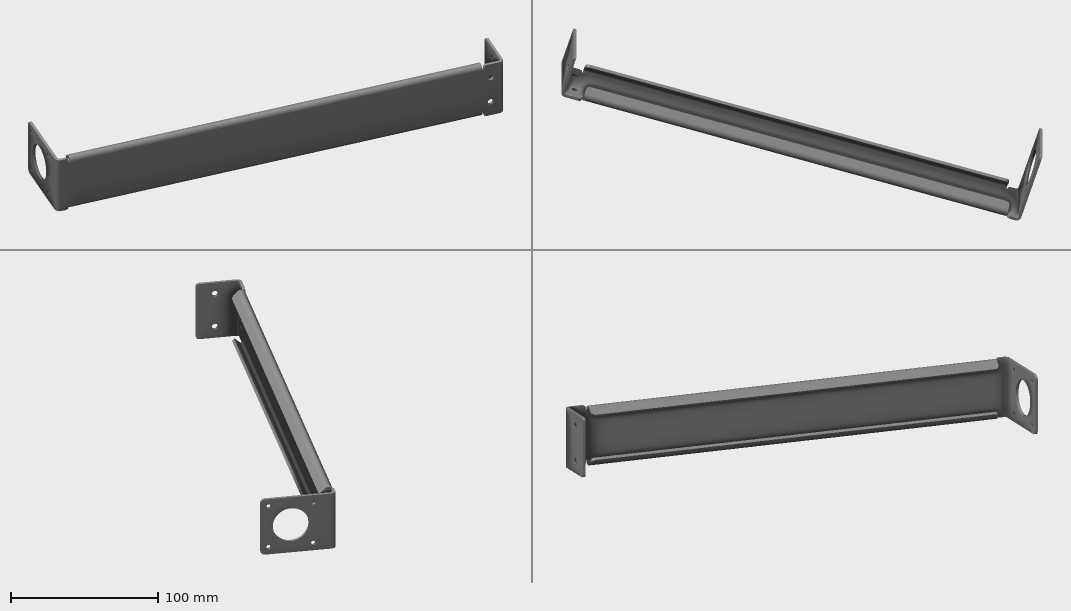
import math

import cadquery as cq

thickness = 2.0
length = 327.0
height = 42.0
bend_inner_radius = 1.5
bend_outer_radius = bend_inner_radius + thickness

motor_plate_width = 52.5
motor_plate_corner_radius = 3.0
motor_axis_x = -motor_plate_width + height / 2
motor_bore_diameter = 25.0
motor_hole_spacing = 31.0
motor_hole_diameter = 3.2

mount_plate_width = 31.5
mount_plate_corner_radius = 2.0
mount_hole_edge_distance = 13.0
mount_hole_spacing = 25.0
mount_hole_diameter = 4.2

web_hole_end_distance = 10.0
web_hole_spacing = 20.0
web_hole_diameter = 4.2

lip_angle = math.radians(135)
lip_depth = 10.0
lip_corner_radius = 3.0
lip_motor_end_distance = 10.0
lip_mount_end_distance = 16.0

relief_width = 1.0
relief_depth = bend_outer_radius
relief_corner_radius = 2.0

y_motor_end = -length / 2
y_mount_end = length / 2
y_lip_start = y_motor_end + lip_motor_end_distance
y_lip_end = y_mount_end - lip_mount_end_distance
lip_length = y_lip_end - y_lip_start


def make_end_plate(width, y_end, direction, corner_radius):
    """Plate at one end, running from its rounded free corners into the bend; direction is outward in Y."""
    plate_length = width - bend_outer_radius
    plate = (
        cq.Workplane("XY")
        .box(plate_length, thickness, height)
        .edges("|Y and <X")
        .fillet(corner_radius)
    )
    return plate.translate((-bend_outer_radius - plate_length / 2, y_end - direction * thickness / 2, 0))


def make_end_bend(y_end, direction):
    """Quarter-round bend joining the web to an end plate; direction is the outward Y of that end."""
    center_y = y_end - direction * bend_outer_radius
    quarter = cq.Workplane("XY").box(bend_outer_radius, bend_outer_radius, height)
    quarter = quarter.translate((-bend_outer_radius / 2, y_end - direction * bend_outer_radius / 2, 0))
    ring = (
        cq.Workplane("XY", origin=(-bend_outer_radius, center_y, -height / 2))
        .circle(bend_outer_radius)
        .circle(bend_inner_radius)
        .extrude(height)
    )
    return ring.intersect(quarter)


def make_web():
    """Flat web between the two end bends, at full height."""
    web_length = length - 2 * bend_outer_radius
    return cq.Workplane("XY").box(thickness, web_length, height).translate((-thickness / 2, 0, 0))


def make_edge_cutout(side):
    """Cutter for one long web edge, leaving room for a lip and its reliefs; side is +1 or -1 in Z."""
    y_start = y_lip_start - relief_width
    y_end = y_lip_end + relief_width
    z_edge = side * height / 2
    z_floor = z_edge - side * relief_depth
    z_round = z_edge - side * relief_corner_radius
    round_inset = relief_corner_radius * (1 - math.sqrt(0.5))
    return (
        cq.Workplane("YZ", origin=(-thickness, 0, 0))
        .moveTo(y_start - relief_corner_radius, z_edge)
        .threePointArc((y_start - round_inset, z_edge - side * round_inset), (y_start, z_round))
        .lineTo(y_start, z_floor)
        .lineTo(y_end, z_floor)
        .lineTo(y_end, z_round)
        .threePointArc(
            (y_end + round_inset, z_edge - side * round_inset), (y_end + relief_corner_radius, z_edge)
        )
        .close()
        .extrude(thickness)
    )


def bend_point(radius, angle):
    """Point on the upper lip bend in XZ, at an angle measured from the web face."""
    center_z = height / 2 - bend_outer_radius
    return (-bend_outer_radius + radius * math.cos(angle), center_z + radius * math.sin(angle))


def make_lip(side):
    """Bend and sloping flat of one lip, with rounded free corners; side is +1 or -1 in Z."""
    outer_x, outer_z = bend_point(bend_outer_radius, lip_angle)
    inner_x, inner_z = bend_point(bend_inner_radius, lip_angle)
    slope_x = -math.sin(lip_angle)
    slope_z = math.cos(lip_angle)
    flat_length = (outer_x + lip_depth) / math.sin(lip_angle)
    flat_x = flat_length * slope_x
    flat_z = flat_length * slope_z
    lip = (
        cq.Workplane("XZ", origin=(0, y_lip_end, 0))
        .moveTo(*bend_point(bend_outer_radius, 0))
        .threePointArc(bend_point(bend_outer_radius, lip_angle / 2), (outer_x, outer_z))
        .lineTo(outer_x + flat_x, outer_z + flat_z)
        .lineTo(inner_x + flat_x, inner_z + flat_z)
        .lineTo(inner_x, inner_z)
        .threePointArc(bend_point(bend_inner_radius, lip_angle / 2), bend_point(bend_inner_radius, 0))
        .close()
        .extrude(lip_length)
    )
    free_edges = cq.selectors.DirectionMinMaxSelector(cq.Vector(slope_x, 0, slope_z), True)
    lip = lip.edges(free_edges).edges("#Y").fillet(lip_corner_radius)
    if side < 0:
        lip = lip.mirror("XY")
    return lip


def make_plate_hole(diameter, x, y, z):
    """Cutter along Y for a hole through an end plate."""
    cutter = cq.Workplane("XZ", origin=(x, y, z)).circle(diameter / 2)
    return cutter.extrude(2 * thickness, both=True)


def make_web_hole(diameter, y, z):
    """Cutter along X for a hole through the web."""
    cutter = cq.Workplane("YZ", origin=(0, y, z)).circle(diameter / 2)
    return cutter.extrude(2 * thickness, both=True)


result = make_web()
result = result.union(make_end_bend(y_motor_end, -1))
result = result.union(make_end_bend(y_mount_end, 1))
result = result.union(make_end_plate(motor_plate_width, y_motor_end, -1, motor_plate_corner_radius))
result = result.union(make_end_plate(mount_plate_width, y_mount_end, 1, mount_plate_corner_radius))

for side in (1, -1):
    result = result.cut(make_edge_cutout(side))
    result = result.union(make_lip(side))

result = result.cut(make_plate_hole(motor_bore_diameter, motor_axis_x, y_motor_end, 0))
mount_hole_x = -mount_plate_width + mount_hole_edge_distance
web_hole_y = y_mount_end - web_hole_end_distance
for side in (1, -1):
    motor_hole_z = side * motor_hole_spacing / 2
    for x_side in (1, -1):
        motor_hole_x = motor_axis_x + x_side * motor_hole_spacing / 2
        result = result.cut(make_plate_hole(motor_hole_diameter, motor_hole_x, y_motor_end, motor_hole_z))

    mount_hole_z = side * mount_hole_spacing / 2
    result = result.cut(make_plate_hole(mount_hole_diameter, mount_hole_x, y_mount_end, mount_hole_z))
    result = result.cut(make_web_hole(web_hole_diameter, web_hole_y, side * web_hole_spacing / 2))